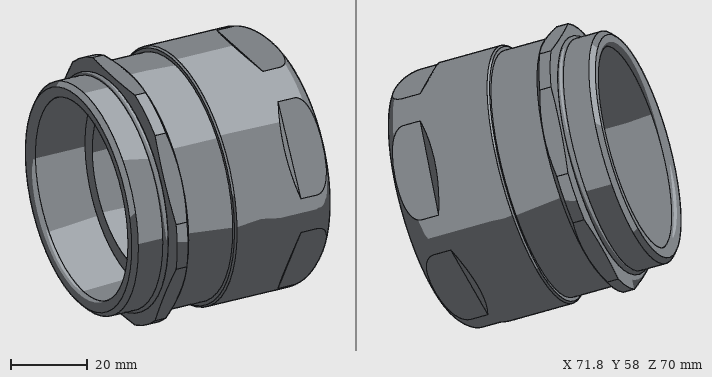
import cadquery as cq
import math

length = 58.0

thread_radius = 63.0 / 2
thread_chamfer = 1.3
thread_end = 8.5

flange_front = 10.0
collar_radius = 32.35
collar_round = (flange_front - thread_end) / 2

flange_rim_front = 10.4
flange_rim_back = 13.6
flange_back = 15.1
flange_radius = 35.9
flange_face_radius = 33.6
flange_across_flats = 67.75

neck_radius = 67.0 / 2

nut_front = 28.0
nut_radius = 70.0 / 2
nut_chamfer = 0.5
nut_round = 6.05
nut_round_start = 52.25
nut_across_flats = 64.95
nut_flats_front = 47.5

bore_radius = 55.0 / 2
bore_depth = 16.2
mouth_radius = 28.3
lip_round = 1.0
through_radius = 46.7 / 2


def revolve_about_y(profile):
    """Turn a closed half profile, drawn as (radius, y), around the Y axis."""
    return profile.close().revolve(360, (0, 0, 0), (0, 1, 0))


def hexagon_outline(across_flats, y):
    """Hexagon square to the Y axis, with corners on X and flats facing up and down."""
    corner_radius = across_flats / 2 / math.cos(math.pi / 6)
    corners = []
    for index in range(6):
        angle = index * math.pi / 3
        corners.append((corner_radius * math.cos(angle), corner_radius * math.sin(angle)))
    return cq.Workplane("XZ", origin=(0, y, 0)).polyline(corners).close()


def hexagon(across_flats, front, back):
    """Hexagonal prism along Y."""
    return hexagon_outline(across_flats, front).extrude(front - back)


def threaded_end():
    return revolve_about_y(
        cq.Workplane("XY")
        .moveTo(0, 0)
        .lineTo(thread_radius - thread_chamfer, 0)
        .lineTo(thread_radius, thread_chamfer)
        .lineTo(thread_radius, thread_end)
        .lineTo(collar_radius - collar_round, thread_end)
        .threePointArc(
            (collar_radius, thread_end + collar_round),
            (collar_radius - collar_round, flange_front),
        )
        .lineTo(0, flange_front)
    )


def body_flange():
    turned = revolve_about_y(
        cq.Workplane("XY")
        .moveTo(0, flange_front)
        .lineTo(flange_face_radius, flange_front)
        .lineTo(flange_radius, flange_rim_front)
        .lineTo(flange_radius, flange_rim_back)
        .lineTo(neck_radius, flange_back)
        .lineTo(0, flange_back)
    )
    return turned.intersect(hexagon(flange_across_flats, flange_front, flange_back))


def neck():
    return revolve_about_y(
        cq.Workplane("XY")
        .moveTo(0, flange_back)
        .lineTo(neck_radius, flange_back)
        .lineTo(neck_radius, nut_front)
        .lineTo(0, nut_front)
    )


def cap_nut():
    round_rise = length - nut_round_start
    back_face_radius = nut_radius - nut_round + math.sqrt(nut_round**2 - round_rise**2)
    turned = revolve_about_y(
        cq.Workplane("XY")
        .moveTo(0, nut_front)
        .lineTo(nut_radius - nut_chamfer, nut_front)
        .lineTo(nut_radius, nut_front + nut_chamfer)
        .lineTo(nut_radius, nut_round_start)
        .radiusArc((back_face_radius, length), -nut_round)
        .lineTo(0, length)
    )
    runout = nut_flats_front - nut_front
    flats = hexagon(nut_across_flats, nut_flats_front, length)
    widening = hexagon_outline(nut_across_flats, nut_flats_front).extrude(runout, taper=-45)
    return turned.intersect(flats.union(widening))


def bores():
    lip_end = lip_round + math.sqrt(lip_round**2 - (mouth_radius - bore_radius) ** 2)
    return revolve_about_y(
        cq.Workplane("XY")
        .moveTo(0, 0)
        .lineTo(mouth_radius, 0)
        .threePointArc((mouth_radius - lip_round, lip_round), (bore_radius, lip_end))
        .lineTo(bore_radius, bore_depth)
        .lineTo(through_radius, bore_depth)
        .lineTo(through_radius, length)
        .lineTo(0, length)
    )


result = threaded_end().union(body_flange()).union(neck()).union(cap_nut()).cut(bores())